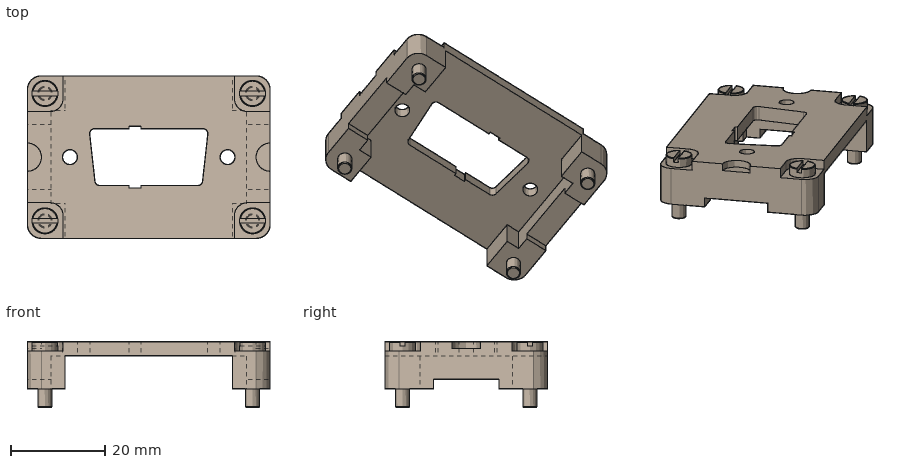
import cadquery as cq
import math

length = 51.5
width = 34.5
height = 10.0
corner_radius = 3.0
plate_thickness = 3.0

foot_length = 8.0
foot_width = 7.4
end_wall_thickness = 5.0

foot_gap_width = 13.8
foot_gap_height = 2.0

pocket_size = 7.6
pocket_depth = 2.0
pocket_radius = 2.8

recess_radius = 3.0
recess_depth = 1.5

window_height = 12.0
window_mean_width = 23.9
window_side_angle = 6.3
window_radius = 1.0
relief_width = 2.5
relief_depth = 0.5
relief_x = -2.9

hole_diameter = 3.1
hole_spacing = 33.4

screw_spacing_x = 44.0
screw_spacing_y = 27.0
head_diameter = 5.5
head_edge_chamfer = 0.15
slot_width = 1.0
slot_depth = 0.9
shank_diameter = 3.0
shank_projection = 4.0
shank_chamfer = 0.2

pocket_floor = height - pocket_depth


def block(size_x, size_y, size_z, x, y, z):
    """Box centred on (x, y) with its underside at z."""
    return cq.Workplane("XY").box(size_x, size_y, size_z, centered=(True, True, False)).translate((x, y, z))


def cylinder(diameter, bottom, top, x, y):
    return cq.Workplane("XY", origin=(x, y, bottom)).circle(diameter / 2).extrude(top - bottom)


def make_body():
    """Plate carried on corner feet and end walls, with a gap below the middle of each wall."""
    clear_height = height - plate_thickness
    body = block(length, width, height, 0, 0, 0).edges("|Z").fillet(corner_radius)
    span = block(length - 2 * foot_length, width, clear_height, 0, 0, 0)
    between_feet = block(length - 2 * end_wall_thickness, width - 2 * foot_width, clear_height, 0, 0, 0)
    foot_gap = block(length, foot_gap_width, foot_gap_height, 0, 0, 0)
    return body.cut(span).cut(between_feet).cut(foot_gap)


def make_corner_pocket(sign_x, sign_y):
    """Corner cutter whose inner vertical edge is rounded."""
    return (
        block(2 * pocket_size, 2 * pocket_size, pocket_depth, 0, 0, pocket_floor)
        .edges("|Z")
        .fillet(pocket_radius)
        .translate((sign_x * length / 2, sign_y * width / 2, 0))
    )


def make_window():
    """Tapered connector window with a shallow relief in each long side."""
    taper = window_height / 2 * math.tan(math.radians(window_side_angle))
    half_top = window_mean_width / 2 + taper
    half_bottom = window_mean_width / 2 - taper
    half_height = window_height / 2
    outline = [
        (-half_bottom, -half_height),
        (half_bottom, -half_height),
        (half_top, half_height),
        (-half_top, half_height),
    ]
    window = cq.Workplane("XY").polyline(outline).close().extrude(height)
    window = window.edges("|Z").fillet(window_radius)
    relief = block(relief_width, window_height + 2 * relief_depth, height, relief_x, 0, 0)
    return window.union(relief)


def make_screw(x, y):
    """Slotted cheese-head screw, head flush with the plate and shank end below the foot."""
    head = cylinder(head_diameter, pocket_floor, height, x, y)
    head = head.faces(">Z").chamfer(head_edge_chamfer)
    slot = block(head_diameter, slot_width, slot_depth, x, y, height - slot_depth)
    shank = cylinder(shank_diameter, -shank_projection, pocket_floor, x, y)
    shank = shank.faces("<Z").chamfer(shank_chamfer)
    return head.cut(slot).union(shank)


result = make_body().cut(make_window())

for sign_x in (-1, 1):
    result = result.cut(cylinder(hole_diameter, 0, height, sign_x * hole_spacing / 2, 0))
    result = result.cut(cylinder(2 * recess_radius, height - recess_depth, height, sign_x * length / 2, 0))
    for sign_y in (-1, 1):
        result = result.cut(make_corner_pocket(sign_x, sign_y))
        result = result.union(make_screw(sign_x * screw_spacing_x / 2, sign_y * screw_spacing_y / 2))